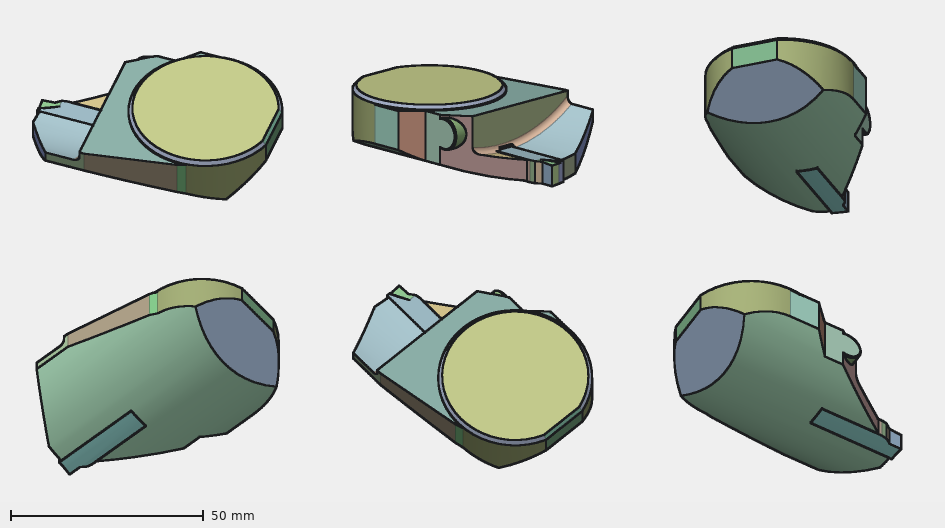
import cadquery as cq
import math


disc_radius = 20.0
disc_chamfer = 1.0
flat_x = 19.0
body_top_z = -1.35

belly_radius = 35.0
belly_z = -18.15
rear_cut_start_z = -6.8

nose_x = -44.2
front_y = -25.0
front_start_x = -35.05
front_end_x = -24.4
nose_corner_y = -9.3
nose_tip_y = -3.35
side_corner = (-0.3, -20.65)
side_join_x = 1.85
back_flat_y = 14.9
back_flat_x = (-18.85, -13.4)
back_corner_x = -8.6

wall_x = -25.8
shelf_z = -12.5
shelf_radius = 43.6
shelf_fillet = 1.55

boss_radius = 4.3
boss_x = -20.1
boss_z = -6.3
boss_length = 12.8
boss_chamfer = 0.3

tip_x = -45.1
insert_front_y = -4.35
insert_top_z = -12.3
insert_drop = 0.2
insert_end_x = -20.4
tip_y = 0.1
tip_slant = 0.25
tip_kink_y = -2.6
clearance_height = 0.65
neck_x = (-41.6, -40.0, -38.45)
neck_y = 1.3
insert_back_y = 1.55
pocket_corner_x = -27.8
rake_x = -40.0
rake_back_y = -0.95
rake_front = (-44.5, -3.3)
rake_depth = 0.45

margin = 6.4


def belly_cylinder(radius):
    """Long cylinder along X; its lowest line forms the underside."""
    axis_z = belly_z + belly_radius
    length = flat_x - tip_x + 2 * margin
    return cq.Workplane("YZ", origin=(tip_x - margin, 0, axis_z)).circle(radius).extrude(length)


def trim_rear_flat(shape):
    """Cut the flat at the rear, with a chamfer along its top edge."""
    removed = (
        cq.Workplane("XZ")
        .polyline([
            (flat_x, belly_z - 2 * margin),
            (flat_x, -disc_chamfer),
            (flat_x - disc_chamfer - margin, margin),
            (flat_x + margin, margin),
            (flat_x + margin, belly_z - 2 * margin),
        ])
        .close()
        .extrude(2 * disc_radius, both=True)
    )
    return shape.cut(removed)


def make_disc():
    disc = cq.Workplane("XY").circle(disc_radius).extrude(belly_z - margin)
    return disc.faces(">Z").chamfer(disc_chamfer)


def make_blank():
    """Straight-sided body joined to the round disc column."""
    join_y = -math.sqrt(disc_radius**2 - side_join_x**2)
    outline = (
        cq.Workplane("XY", origin=(0, 0, body_top_z))
        .moveTo(nose_x, nose_tip_y)
        .lineTo(nose_x, nose_corner_y)
        .lineTo(front_start_x, front_y)
        .lineTo(front_end_x, front_y)
        .lineTo(*side_corner)
        .lineTo(side_join_x, join_y)
        .lineTo(0, disc_radius)
        .lineTo(back_corner_x, disc_radius)
        .lineTo(back_flat_x[1], back_flat_y)
        .lineTo(back_flat_x[0], back_flat_y)
        .close()
    )
    body = outline.extrude(belly_z - margin - body_top_z)
    return body.union(trim_rear_flat(make_disc()))


def rear_cutter():
    drop = rear_cut_start_z - belly_z + margin
    return (
        cq.Workplane("XZ")
        .moveTo(flat_x + margin, rear_cut_start_z + margin)
        .lineTo(flat_x + margin, rear_cut_start_z - drop)
        .lineTo(flat_x - drop, rear_cut_start_z - drop)
        .close()
        .extrude(2 * disc_radius, both=True)
    )


def shelf_cutter():
    """Space above the shelf, rounded where the shelf meets the wall."""
    half_width = -front_y + margin
    edge_z = shelf_z + shelf_radius - math.sqrt(shelf_radius**2 - half_width**2)
    space = (
        cq.Workplane("YZ", origin=(wall_x, 0, 0))
        .moveTo(-half_width, edge_z)
        .threePointArc((0, shelf_z), (half_width, edge_z))
        .lineTo(half_width, margin)
        .lineTo(-half_width, margin)
        .close()
        .extrude(tip_x - margin - wall_x)
    )
    return space.faces(">X").edges("%CIRCLE").fillet(shelf_fillet)


def make_boss():
    return (
        cq.Workplane("XZ", origin=(boss_x, back_flat_y, boss_z))
        .circle(boss_radius)
        .extrude(boss_length)
        .faces(">Y")
        .chamfer(boss_chamfer)
    )


def insert_prism():
    """Insert outline, from its top face down past the underside."""
    outline = [
        (tip_x, tip_y),
        (neck_x[0], tip_y),
        (neck_x[1], neck_y),
        (neck_x[2], insert_back_y),
        (insert_end_x, insert_back_y),
        (insert_end_x, insert_front_y),
        (tip_x + tip_slant, insert_front_y),
        (tip_x + tip_slant, tip_kink_y),
    ]
    depth = insert_top_z - belly_z + margin
    return cq.Workplane("XY", origin=(0, 0, insert_top_z)).polyline(outline).close().extrude(-depth)


def insert_clearance():
    """Low space over the insert, undercutting the shelf fillet up to the wall."""
    outline = [
        (tip_x, insert_front_y),
        (wall_x, insert_front_y),
        (wall_x, tip_y),
        (pocket_corner_x, insert_back_y),
        (tip_x, insert_back_y),
    ]
    return cq.Workplane("XY", origin=(0, 0, insert_top_z)).polyline(outline).close().extrude(clearance_height)


def rake_cutter():
    """Wedge that slopes the insert top down to its cutting edge."""
    corner_area = (
        cq.Workplane("XY", origin=(0, 0, insert_top_z - margin))
        .polyline([
            (tip_x - margin, rake_front[1]),
            rake_front,
            (rake_x, rake_back_y),
            (rake_x, margin),
            (tip_x - margin, margin),
        ])
        .close()
        .extrude(2 * margin)
    )
    slope = (
        cq.Workplane("XZ")
        .polyline([
            (rake_x, insert_top_z),
            (tip_x, insert_top_z - rake_depth),
            (tip_x, insert_top_z + margin),
            (rake_x, insert_top_z + margin),
        ])
        .close()
        .extrude(margin, both=True)
    )
    return slope.intersect(corner_area)


def make_holder():
    holder = make_blank().union(make_boss())
    holder = holder.intersect(belly_cylinder(belly_radius))
    holder = holder.cut(rear_cutter()).cut(shelf_cutter())
    return holder.cut(insert_prism()).cut(insert_clearance())


def make_insert():
    insert = insert_prism().intersect(belly_cylinder(belly_radius + insert_drop))
    return insert.cut(rake_cutter())


holder = make_holder()
insert = make_insert()
result = cq.Compound.makeCompound([holder.val(), insert.val()])